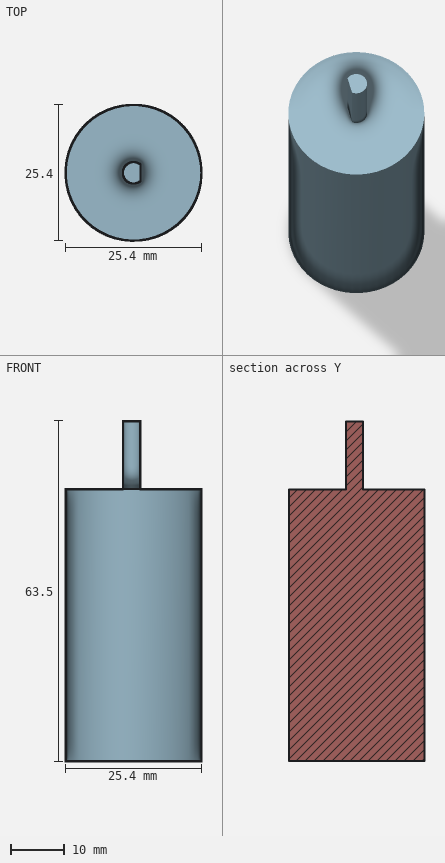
import cadquery as cq

total_height = 63.5
body_diameter = 25.4
body_height = 50.8

shaft_diameter = 4.0
flat_offset = 1.3

shaft_radius = shaft_diameter / 2
shaft_length = total_height - body_height


def make_body():
    """Plain cylinder standing on the XY plane."""
    return cq.Workplane("XY").circle(body_diameter / 2).extrude(body_height)


def make_shaft():
    """D-shaped shaft rising from the top face of the body."""
    flat_half_width = (shaft_radius**2 - flat_offset**2) ** 0.5
    return (
        cq.Workplane("XY")
        .workplane(offset=body_height)
        .moveTo(flat_offset, -flat_half_width)
        .lineTo(flat_offset, flat_half_width)
        .threePointArc((-shaft_radius, 0), (flat_offset, -flat_half_width))
        .close()
        .extrude(shaft_length)
    )


result = make_body().union(make_shaft())